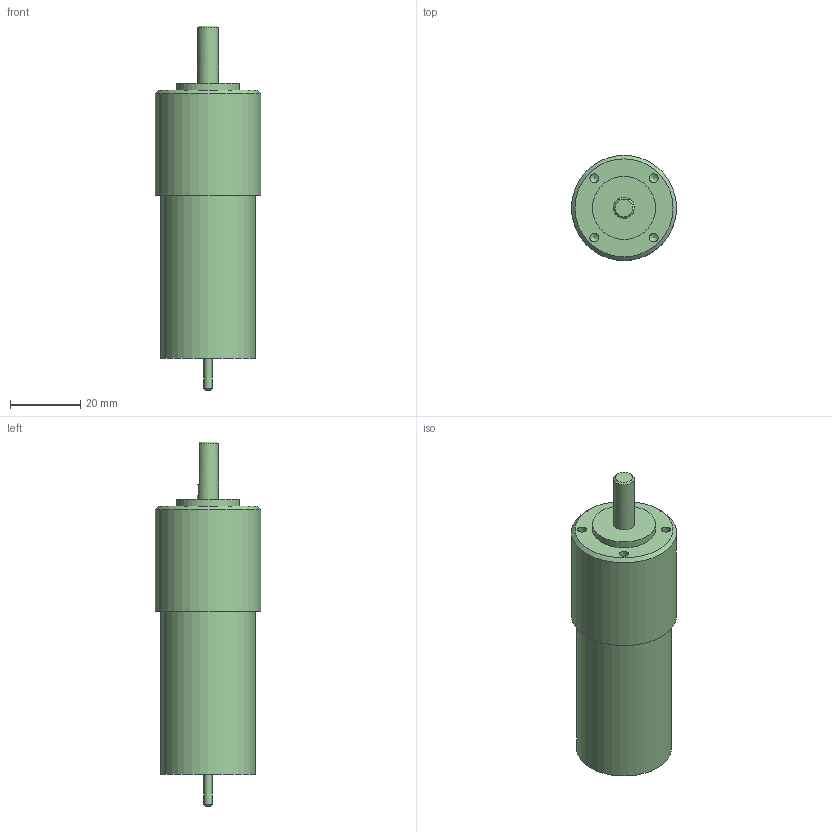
import cadquery as cq
import math

overall_length = 103.9

gearbox_diameter = 30.0
gearbox_length = 30.0
gearbox_chamfer = 1.0

motor_diameter = 27.0
motor_length = 46.6

boss_diameter = 18.0
boss_height = 2.0

rear_shaft_diameter = 2.3
rear_shaft_length = 9.0
rear_shaft_chamfer = 0.5

shaft_diameter = 6.0
shaft_chamfer = 0.5
shaft_flat_offset = 2.5
shaft_flat_length = 12.0

hole_diameter = 2.5
hole_count = 4
hole_circle_diameter = 24.0
hole_depth = 3.0
drill_point_angle = 118.0

motor_bottom = -gearbox_length - motor_length
rear_shaft_tip = motor_bottom - rear_shaft_length
shaft_tip = overall_length + rear_shaft_tip


def make_cylinder(diameter, bottom, top):
    """Cylinder on the Z axis between two heights."""
    return cq.Workplane("XY").workplane(offset=bottom).circle(diameter / 2).extrude(top - bottom)


def make_gearbox():
    """Gearbox housing with a chamfered front rim and the pilot boss."""
    housing = make_cylinder(gearbox_diameter, -gearbox_length, 0)
    housing = housing.faces(">Z").chamfer(gearbox_chamfer)
    return housing.union(make_cylinder(boss_diameter, 0, boss_height))


def make_output_shaft():
    """Output shaft with a chamfered tip and a flat on its +Y side."""
    shaft = make_cylinder(shaft_diameter, boss_height, shaft_tip)
    shaft = shaft.faces(">Z").edges().chamfer(shaft_chamfer)
    flat_cutter = (
        cq.Workplane("XY")
        .box(shaft_diameter, shaft_diameter, shaft_flat_length, centered=(True, False, False))
        .translate((0, shaft_flat_offset, shaft_tip - shaft_flat_length))
    )
    return shaft.cut(flat_cutter)


def make_rear_shaft():
    """Thin motor shaft leaving the rear face, with a chamfered tip."""
    shaft = make_cylinder(rear_shaft_diameter, rear_shaft_tip, motor_bottom)
    return shaft.faces("<Z").edges().chamfer(rear_shaft_chamfer)


def make_hole_cutter():
    """Blind mounting hole with a conical drill point, opening upward at Z = 0."""
    radius = hole_diameter / 2
    point_depth = radius / math.tan(math.radians(drill_point_angle / 2))
    return (
        cq.Workplane("XZ")
        .moveTo(0, 0)
        .lineTo(radius, 0)
        .lineTo(radius, -hole_depth)
        .lineTo(0, -hole_depth - point_depth)
        .close()
        .revolve(360, (0, 0), (0, 1))
    )


def cut_mounting_holes(body):
    """Drill the equally spaced mounting holes, the first midway between +X and +Y."""
    spacing = 360 / hole_count
    cutter = make_hole_cutter().translate((hole_circle_diameter / 2, 0, 0))
    for index in range(hole_count):
        angle = (index + 0.5) * spacing
        body = body.cut(cutter.rotate((0, 0, 0), (0, 0, 1), angle))
    return body


motor = make_cylinder(motor_diameter, motor_bottom, -gearbox_length)
body = make_gearbox().union(motor).union(make_output_shaft()).union(make_rear_shaft())
result = cut_mounting_holes(body)